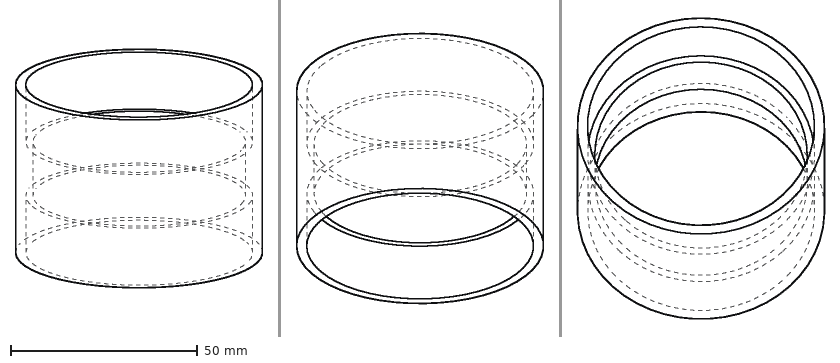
import cadquery as cq

outer_diameter = 66.3
length = 47.0
socket_diameter = 60.85
bore_diameter = 57.0
socket_depth = 16.0


def cylinder(diameter, height, base_z):
    """Solid cylinder on the Z axis, standing on base_z."""
    return cq.Workplane("XY").workplane(offset=base_z).circle(diameter / 2).extrude(height)


bottom_z = -length / 2
sleeve = cylinder(outer_diameter, length, bottom_z)

sleeve = sleeve.cut(cylinder(bore_diameter, length, bottom_z))

for socket_base_z in (bottom_z, length / 2 - socket_depth):
    sleeve = sleeve.cut(cylinder(socket_diameter, socket_depth, socket_base_z))

result = sleeve